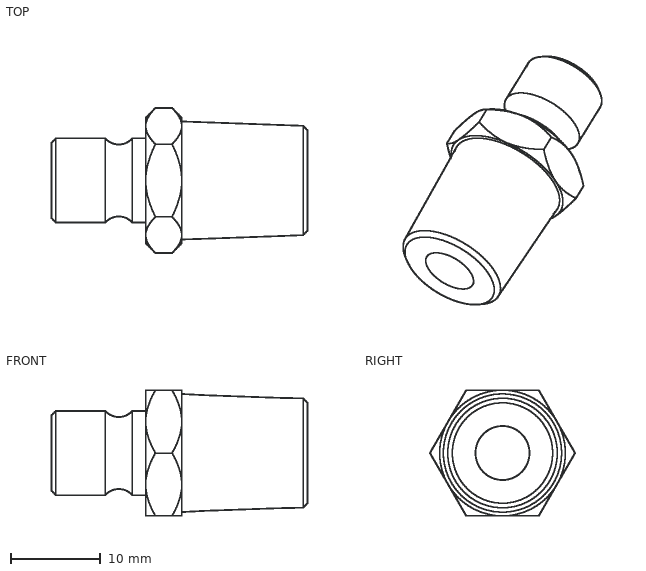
import cadquery as cq
import math

total_length = 28.5
hex_start = 10.5
hex_width = 4.02
hex_end = hex_start + hex_width

plug_radius = 4.7
plug_chamfer = 0.5
bore_radius = 3.0

groove_start = 5.98
groove_end = 9.0
groove_radius = 4.02

across_flats = 14.0
hex_sides = 6
across_corners = across_flats / math.cos(math.pi / hex_sides)

taper_start_radius = 6.58
taper_end_radius = 6.1
end_chamfer = 0.5


def turned_body():
    """Plug, groove and tapered body as one profile revolved about X."""
    groove_middle = (groove_start + groove_end) / 2
    return (
        cq.Workplane("XY")
        .moveTo(0, 0)
        .lineTo(0, plug_radius - plug_chamfer)
        .lineTo(plug_chamfer, plug_radius)
        .lineTo(groove_start, plug_radius)
        .threePointArc((groove_middle, groove_radius), (groove_end, plug_radius))
        .lineTo(hex_end, plug_radius)
        .lineTo(hex_end, taper_start_radius)
        .lineTo(total_length - end_chamfer, taper_end_radius)
        .lineTo(total_length, taper_end_radius - end_chamfer)
        .lineTo(total_length, 0)
        .close()
        .revolve(360, (0, 0, 0), (1, 0, 0))
    )


def hexagon():
    """Hexagon with corners on Y, its corners trimmed by a cone on both faces."""
    prism = (
        cq.Workplane("YZ")
        .workplane(offset=hex_start)
        .polygon(hex_sides, across_corners)
        .extrude(hex_width)
    )
    face_radius = across_flats / 2
    corner_radius = across_corners / 2
    chamfer_depth = corner_radius - face_radius
    trim = (
        cq.Workplane("XY")
        .moveTo(hex_start, 0)
        .lineTo(hex_start, face_radius)
        .lineTo(hex_start + chamfer_depth, corner_radius)
        .lineTo(hex_end - chamfer_depth, corner_radius)
        .lineTo(hex_end, face_radius)
        .lineTo(hex_end, 0)
        .close()
        .revolve(360, (0, 0, 0), (1, 0, 0))
    )
    return prism.intersect(trim)


bore = cq.Workplane("YZ").circle(bore_radius).extrude(total_length)

result = turned_body().union(hexagon()).cut(bore)